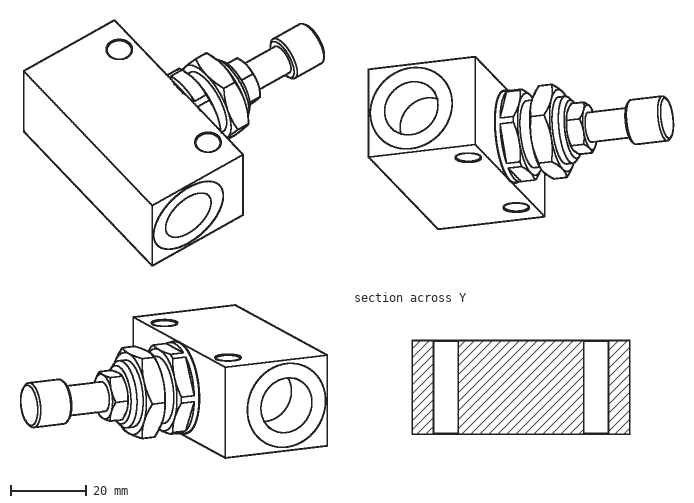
import cadquery as cq
import math

BLOCK_LENGTH = 58.0
BLOCK_DEPTH = 30.0
BLOCK_HEIGHT = 25.0
BORE_TO_FRONT = 12.0
BLOCK_BACK = BLOCK_DEPTH - BORE_TO_FRONT

PORT_DIAMETER = 15.0
PORT_DEPTH = 13.0
PORT_FACE_DIAMETER = 23.0
PORT_FACE_DEPTH = 0.1

MOUNT_DIAMETER = 6.5
MOUNT_SPACING = 40.0
MOUNT_FROM_BACK = 5.0
MOUNT_CHAMFER = 0.25

SEAT_DIAMETER = 24.9
SEAT_DEPTH = 0.2

COLLAR_DIAMETER = 24.5
COLLAR_LENGTH = 1.3
CARTRIDGE_FLATS = 22.0
CARTRIDGE_HEX_END = 5.8
SLEEVE_DIAMETER = 18.0
SLEEVE_END = 17.8
SLEEVE_CHAMFER = 1.2
PANEL_NUT_FLATS = 22.0
PANEL_NUT_START = 9.2
PANEL_NUT_LENGTH = 5.6
LOCK_NUT_FLATS = 12.0
LOCK_NUT_LENGTH = 4.6
STEM_DIAMETER = 8.0
KNOB_DIAMETER = 12.0
KNOB_LENGTH = 10.0
KNOB_CHAMFER = 0.6
SPINDLE_END = 44.1

CONE_ANGLE = 30.0


def across_corners(flats):
    return flats * 2 / math.sqrt(3)


def plane_at(start):
    """Plane facing +Y, at a distance behind the back face of the block."""
    return cq.Workplane(cq.Plane((0, BLOCK_BACK + start, 0), (1, 0, 0), (0, 1, 0)))


def rod(diameter, start, end):
    return plane_at(start).circle(diameter / 2).extrude(end - start)


def hex_prism(flats, start, end):
    """Hexagonal prism with two corners on the X axis."""
    return plane_at(start).polygon(6, across_corners(flats)).extrude(end - start)


def coned_rod(diameter, face_diameter, start, end, both_ends):
    """Turned rod, coned down to a face diameter at its outer end or at both ends."""
    length = end - start
    radius = diameter / 2
    face_radius = face_diameter / 2
    cone = (radius - face_radius) * math.tan(math.radians(CONE_ANGLE))
    profile = [(0, 0)]
    if both_ends:
        profile += [(face_radius, 0), (radius, cone)]
    else:
        profile += [(radius, 0)]
    profile += [(radius, length - cone), (face_radius, length), (0, length)]
    return (
        cq.Workplane("XY", origin=(0, BLOCK_BACK + start, 0))
        .polyline(profile)
        .close()
        .revolve(360, (0, 0, 0), (0, 1, 0))
    )


def make_nut(flats, start, length):
    """Hexagon nut with its corners coned at both ends; the stem fills its bore."""
    end = start + length
    cones = coned_rod(across_corners(flats), flats, start, end, True)
    return hex_prism(flats, start, end).intersect(cones)


def make_body():
    """Round collar and the hexagon behind it, turned as one piece."""
    turned = coned_rod(COLLAR_DIAMETER, CARTRIDGE_FLATS, -SEAT_DEPTH, CARTRIDGE_HEX_END, False)
    outline = rod(across_corners(CARTRIDGE_FLATS), -SEAT_DEPTH, COLLAR_LENGTH)
    outline = outline.union(hex_prism(CARTRIDGE_FLATS, COLLAR_LENGTH, CARTRIDGE_HEX_END))
    return turned.intersect(outline)


def make_block():
    block = cq.Workplane("XY").box(BLOCK_LENGTH, BLOCK_DEPTH, BLOCK_HEIGHT)
    block = block.translate((0, BLOCK_BACK - BLOCK_DEPTH / 2, 0))
    for side in (-1, 1):
        end_face = cq.Workplane("YZ", origin=(side * BLOCK_LENGTH / 2, 0, 0))
        block = block.cut(end_face.circle(PORT_FACE_DIAMETER / 2).extrude(-side * PORT_FACE_DEPTH))
        block = block.cut(end_face.circle(PORT_DIAMETER / 2).extrude(-side * PORT_DEPTH))
    block = (
        block.faces(">Z")
        .workplane(origin=(0, BLOCK_BACK - MOUNT_FROM_BACK, 0))
        .pushPoints([(-MOUNT_SPACING / 2, 0), (MOUNT_SPACING / 2, 0)])
        .hole(MOUNT_DIAMETER)
    )
    block = block.faces("<Z or >Z").edges("%CIRCLE").chamfer(MOUNT_CHAMFER)
    return block.cut(rod(SEAT_DIAMETER, -SEAT_DEPTH, 0))


def make_cartridge():
    sleeve = rod(SLEEVE_DIAMETER, 0, SLEEVE_END).faces(">Y").chamfer(SLEEVE_CHAMFER)
    panel_nut = make_nut(PANEL_NUT_FLATS, PANEL_NUT_START, PANEL_NUT_LENGTH)
    lock_nut = make_nut(LOCK_NUT_FLATS, SLEEVE_END, LOCK_NUT_LENGTH)
    stem = rod(STEM_DIAMETER, 0, SPINDLE_END)
    knob = rod(KNOB_DIAMETER, SPINDLE_END - KNOB_LENGTH, SPINDLE_END)
    knob = knob.faces("<Y or >Y").chamfer(KNOB_CHAMFER)

    cartridge = make_body()
    for piece in (sleeve, panel_nut, lock_nut, stem, knob):
        cartridge = cartridge.union(piece)
    return cartridge


result = make_block().union(make_cartridge())